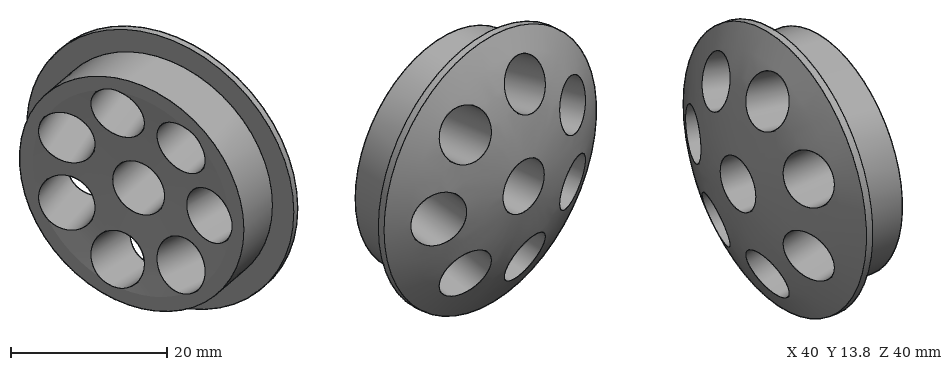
import cadquery as cq
import math

flange_radius = 20.0
flange_thickness = 1.0
collar_radius = 16.8
collar_length = 7.0
dome_height = 5.8
bore_diameter = 7.75
dish_rim_radius = 14.75
dish_sphere_radius = 60.0
ring_hole_count = 7
ring_hole_diameter = 7.75
ring_hole_tilt = 10.8

collar_end = 0.0
flange_start = collar_end + collar_length
dome_start = flange_start + flange_thickness

bore_radius = bore_diameter / 2
dome_center_depth = (flange_radius**2 - bore_radius**2 - dome_height**2) / (2 * dome_height)
dome_sphere_radius = math.hypot(flange_radius, dome_center_depth)
dome_center = dome_start - dome_center_depth
dome_apex = dome_center + dome_sphere_radius

dish_center = collar_end - math.sqrt(dish_sphere_radius**2 - dish_rim_radius**2)
dish_apex = dish_center + dish_sphere_radius


def sphere_point(center, radius, distance):
    """Point of a spherical profile at a given distance from the Y axis."""
    return (distance, center + math.sqrt(radius**2 - distance**2))


def make_body():
    """Domed, flanged disc with a collar and a dished end."""
    profile = (
        cq.Workplane("XY")
        .moveTo(0, dish_apex)
        .threePointArc(
            sphere_point(dish_center, dish_sphere_radius, dish_rim_radius / 2),
            (dish_rim_radius, collar_end),
        )
        .lineTo(collar_radius, collar_end)
        .lineTo(collar_radius, flange_start)
        .lineTo(flange_radius, flange_start)
        .lineTo(flange_radius, dome_start)
        .threePointArc(
            sphere_point(dome_center, dome_sphere_radius, flange_radius / 2),
            (0, dome_apex),
        )
        .close()
    )
    return profile.revolve(360, (0, 0, 0), (0, 1, 0))


def make_ring_hole(angle):
    """Cutter along a radius of the dish sphere, turned about Y by the given angle."""
    length = dish_sphere_radius + dome_apex
    tilt = math.radians(ring_hole_tilt)
    axis = cq.Vector(math.sin(tilt), math.cos(tilt), 0)
    cutter = cq.Solid.makeCylinder(
        ring_hole_diameter / 2, length, cq.Vector(0, dish_center, 0), axis
    )
    return cutter.rotate(cq.Vector(0, 0, 0), cq.Vector(0, 1, 0), angle)


bore = cq.Solid.makeCylinder(bore_radius, dome_apex, cq.Vector(0, collar_end, 0), cq.Vector(0, 1, 0))

result = make_body().cut(cq.Workplane(bore))
for index in range(ring_hole_count):
    result = result.cut(cq.Workplane(make_ring_hole(index * 360 / ring_hole_count)))